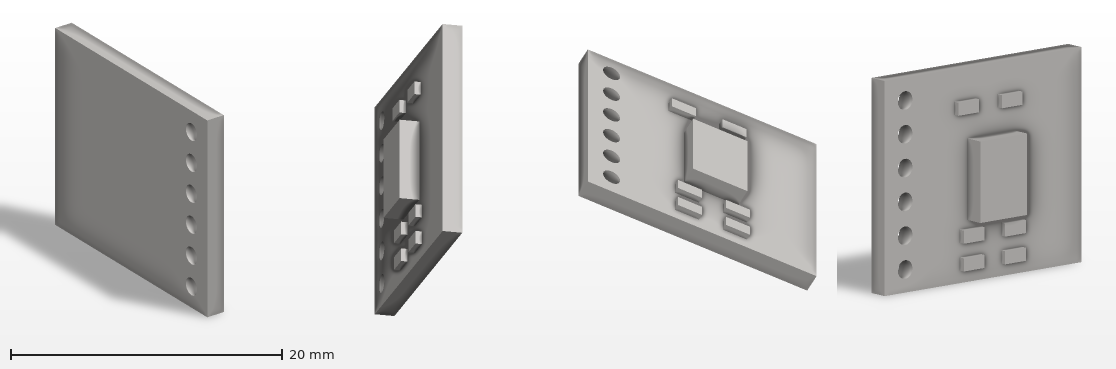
import cadquery as cq

board_width = 19.0
board_height = 16.2
board_thickness = 1.5

hole_diameter = 1.4
hole_count = 6
hole_pitch = 2.55
hole_row_x = 7.52

chip_width = 4.5
chip_height = 6.14
chip_rise = 1.5
chip_center = (-0.72, -0.36)

component_width = 2.0
component_height = 0.99
component_rise = 0.5
upper_row_z = 5.15
upper_row_x = (-2.41, 1.79)
lower_rows_z = (-4.56, -6.65)
lower_rows_x = (-2.72, 1.27)

component_centers = [(x, upper_row_z) for x in upper_row_x]
component_centers += [(x, z) for z in lower_rows_z for x in lower_rows_x]


def block(width, depth, height, center):
    """Block centered on (x, z), running from the bare face at Y = 0 toward +Y."""
    x, z = center
    return cq.Workplane("XY").box(width, depth, height, centered=(True, False, True)).translate((x, 0, z))


def make_chip():
    """Chip body, flush with the bare face and passing through the board."""
    return block(chip_width, board_thickness + chip_rise, chip_height, chip_center)


def make_component(center):
    """Small component, flush with the bare face and passing through the board."""
    return block(component_width, board_thickness + component_rise, component_height, center)


def make_board(inserts):
    """Board with header holes and an opening that matches each inserted body."""
    plate = block(board_width, board_thickness, board_height, (0, 0))
    holes = (
        cq.Workplane("XZ")
        .center(hole_row_x, 0)
        .rarray(0.19, hole_pitch, 1, hole_count)
        .circle(hole_diameter / 2)
        .extrude(-board_thickness)
    )
    plate = plate.cut(holes)
    for insert in inserts:
        plate = plate.cut(insert)
    return plate.solids()


chip = make_chip()
components = [make_component(center) for center in component_centers]
board = make_board([chip, *components])

component_solids = [component.val() for component in components]
result = cq.Compound.makeCompound([board.val(), chip.val(), *component_solids])